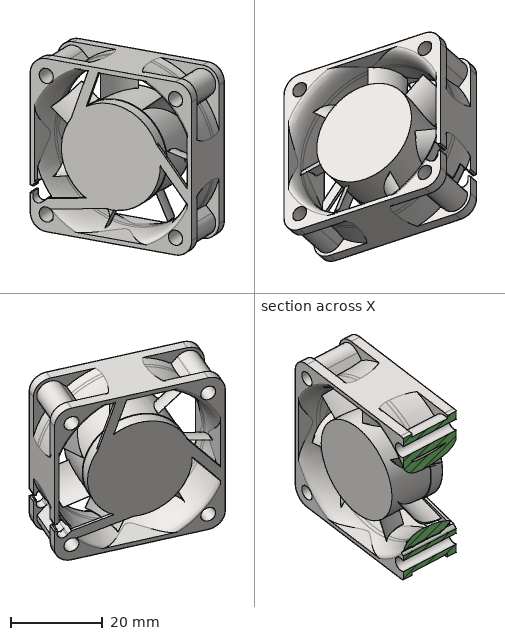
import cadquery as cq
import math


side = 40.0
depth = 15.0
corner_radius = 4.0
channel_width = 10.0
hole_pitch = 32.0
hole_diameter = 3.5
post_radius = 3.2
opening_side = 37.75

half_side = side / 2
half_depth = depth / 2
half_channel = channel_width / 2
hole_offset = hole_pitch / 2
wall_x = -opening_side / 2

throat_radius = 18.85
duct_radius = 20.6
bore_flare = 2.0
duct_flare = 1.3
throat_back = 2.5
throat_front = 1.5

hub_radius = 12.25
stator_depth = 3.2
rotor_radius = 12.1
rotor_recess = 0.8
strut_count = 3
strut_width = 2.4
strut_offset = 10.5
strut_depth = 0.7
strut_angle = 70.2

blade_count = 7
blade_tip = 17.95
blade_left = -4.7
blade_right = 0.25
blade_front = -3.65
blade_back = 4.8
blade_bow = 1.1
blade_thickness = 0.5

groove_radius = 1.3
groove_x = -18.0
groove_z = -12.35
gap_middle = -10.7
gap_height = 1.2
gap_chamfer = 0.3
notch_top = -8.7
notch_lead = 0.95
notch_inner_x = -14.0
strut_meeting = (-15.95, -12.3)
groove_end = (-16.8, -13.05)
relief_top = -12.1
rim_radius = 20.55
rim_start = -3.0
rim_end = -6.1
rim_end_radius = 19.7
rim_bulge = 0.25
rim_round_radius = (rim_radius + rim_end_radius) / 2 + rim_bulge
ledge_top = -5.8

lip_x = groove_x - groove_radius

AXIS_START = (0, 0, 0)
AXIS_END = (0, 1, 0)


def turn(solid, angle):
    """Rotate about the fan axis, clockwise as seen from the front."""
    return solid.rotate(AXIS_START, AXIS_END, angle)


def block(width, y_start, y_end):
    """Square block centred on the axis."""
    return cq.Workplane("XY").box(width, y_end - y_start, width).translate((0, (y_start + y_end) / 2, 0))


def face_plane(y_start):
    """Sketch plane in X and Z; a negative extrusion goes towards +Y."""
    return cq.Workplane("XZ", origin=(0, y_start, 0))


def disc(radius, y_start, y_end):
    return face_plane(y_start).circle(radius).extrude(y_start - y_end)


def flared_body(radius, flare):
    """Cylinder at the throat, with quarter ellipses out to both faces."""
    body = (
        cq.Workplane("XY")
        .moveTo(0, half_depth)
        .lineTo(radius + flare, half_depth)
        .ellipseArc(flare, half_depth - throat_back, 90, 180, startAtCurrent=True)
        .lineTo(radius, throat_front)
        .ellipseArc(flare, half_depth + throat_front, 180, 270, startAtCurrent=True)
        .lineTo(0, -half_depth)
        .close()
        .revolve(360, AXIS_START, AXIS_END)
    )
    return turn(body, 45)


def make_flange(y_start, y_end):
    return block(side, y_start, y_end).edges("|Y").fillet(corner_radius)


def make_post(angle):
    """Screw post joined to the duct by a radial web of the same width."""
    reach = hole_offset * math.sqrt(2)
    web_start = (throat_radius + duct_radius) / 2
    web = (
        face_plane(-half_channel)
        .center((reach + web_start) / 2, 0)
        .rect(reach - web_start, 2 * post_radius)
        .extrude(-channel_width)
    )
    post = disc(post_radius, -half_channel, half_channel).translate((reach, 0, 0))
    return turn(web.union(post), angle)


def make_housing():
    housing = flared_body(duct_radius, duct_flare).intersect(block(side, -half_channel, half_channel))
    housing = housing.union(make_flange(-half_depth, -half_channel))
    housing = housing.union(make_flange(half_channel, half_depth))
    for corner in range(4):
        housing = housing.union(make_post(45 + 90 * corner))
    bore = flared_body(throat_radius, bore_flare).intersect(block(opening_side, -half_depth, half_depth))
    return housing.cut(bore)


def make_strut(angle):
    """Flat bar beside a radius, from the hub to the opening in the front flange."""
    strut = (
        face_plane(-half_depth)
        .center(half_side / 2, strut_offset)
        .rect(half_side, strut_width)
        .extrude(-strut_depth)
    )
    strut = turn(strut, -angle).intersect(disc(throat_radius + bore_flare, -half_depth, half_depth))
    return strut.intersect(block(side, -half_depth, half_depth))


def make_blade(angle):
    """Radial blade of crescent section, bowed towards its back with sharp edges."""
    run = blade_right - blade_left
    rise = blade_back - blade_front
    chord = math.hypot(run, rise)

    def bow_point(bow):
        middle_x = (blade_left + blade_right) / 2
        middle_y = (blade_front + blade_back) / 2
        return middle_x - bow * rise / chord, middle_y + bow * run / chord

    blade = (
        cq.Workplane("XY")
        .moveTo(blade_left, blade_front)
        .threePointArc(bow_point(blade_bow), (blade_right, blade_back))
        .threePointArc(bow_point(blade_bow + blade_thickness), (blade_left, blade_front))
        .close()
        .extrude(blade_tip)
    )
    return turn(blade, angle)


def make_fan():
    fan = disc(hub_radius, -half_depth, stator_depth - half_depth)
    fan = fan.union(disc(rotor_radius, -half_depth, half_depth - rotor_recess))
    for index in range(strut_count):
        fan = fan.union(make_strut(strut_angle + index * 360 / strut_count))
    for index in range(blade_count):
        fan = fan.union(make_blade(index * 360 / blade_count))
    return fan


def make_screw_holes():
    return (
        face_plane(-half_depth)
        .rect(hole_pitch, hole_pitch, forConstruction=True)
        .vertices()
        .circle(hole_diameter / 2)
        .extrude(-depth)
    )


def make_groove(y_start, y_end):
    """Wire space behind the lips: round at the bottom, bounded inside by the strut edge."""
    diagonal = groove_radius / math.sqrt(2)
    strut_slope = math.tan(math.radians(strut_angle + 360 / strut_count - 180))
    inner_z = strut_meeting[1] + (notch_inner_x - strut_meeting[0]) * strut_slope
    return (
        face_plane(y_start)
        .moveTo(lip_x, notch_top - notch_lead)
        .lineTo(lip_x + notch_lead, notch_top)
        .lineTo(notch_inner_x, notch_top)
        .lineTo(notch_inner_x, inner_z)
        .lineTo(*strut_meeting)
        .lineTo(*groove_end)
        .lineTo(groove_x + diagonal, groove_z - diagonal)
        .threePointArc((groove_x, groove_z - groove_radius), (lip_x, groove_z))
        .close()
        .extrude(y_start - y_end)
    )


def make_ledge():
    """Step above the groove, level with the lowered duct rim."""
    length = rim_end + half_depth
    return (
        face_plane(-half_depth)
        .moveTo(wall_x, ledge_top)
        .lineTo(wall_x, notch_top)
        .lineTo(notch_inner_x, notch_top)
        .lineTo(notch_inner_x, ledge_top)
        .close()
        .extrude(-length)
    )


def make_post_relief():
    """Cuts the post web back along the groove's 45 degree flank."""
    outer_x = -half_side
    flank_drop = groove_end[0] - outer_x
    return (
        face_plane(-half_channel)
        .moveTo(outer_x, groove_end[1] - flank_drop)
        .lineTo(*groove_end)
        .lineTo(*strut_meeting)
        .lineTo(strut_meeting[0], relief_top)
        .lineTo(outer_x, relief_top)
        .close()
        .extrude(-channel_width)
    )


def make_rim():
    """Duct wall that stays beside the wire, rounded over towards the front."""
    return (
        cq.Workplane("XY")
        .moveTo(0, half_depth)
        .lineTo(rim_radius, half_depth)
        .lineTo(rim_radius, rim_start)
        .threePointArc((rim_round_radius, (rim_start + rim_end) / 2), (rim_end_radius, rim_end))
        .lineTo(0, rim_end)
        .close()
        .revolve(360, AXIS_START, AXIS_END)
    )


def make_gap():
    """Slit between the lips, chamfered at the side, front and back."""
    narrow = gap_height / 2
    wide = narrow + gap_chamfer
    chamfer_x = gap_chamfer - half_side
    gap = (
        face_plane(-half_depth)
        .polyline([(-half_side, -wide), (-half_side, wide), (chamfer_x, narrow),
                   (wall_x, narrow), (wall_x, -narrow), (chamfer_x, -narrow)])
        .close()
        .extrude(-depth)
    )
    for end in (-1, 1):
        face_y = end * half_depth
        inner_y = end * (half_depth - gap_chamfer)
        wedge = (
            cq.Workplane("YZ", origin=(-half_side, 0, 0))
            .polyline([(face_y, -wide), (face_y, wide), (inner_y, narrow), (inner_y, -narrow)])
            .close()
            .extrude(half_side + lip_x)
        )
        gap = gap.union(wedge)
    return gap.translate((0, 0, gap_middle))


def make_wire_notch():
    notch = make_groove(-half_depth, rim_start)
    notch = notch.union(make_groove(half_channel, half_depth))
    notch = notch.union(make_post_relief())
    notch = notch.cut(make_rim())
    ledge = make_ledge().cut(disc(rim_end_radius, -half_depth, half_depth))
    return notch.union(ledge).union(make_gap())


result = make_housing().union(make_fan()).cut(make_screw_holes()).cut(make_wire_notch())